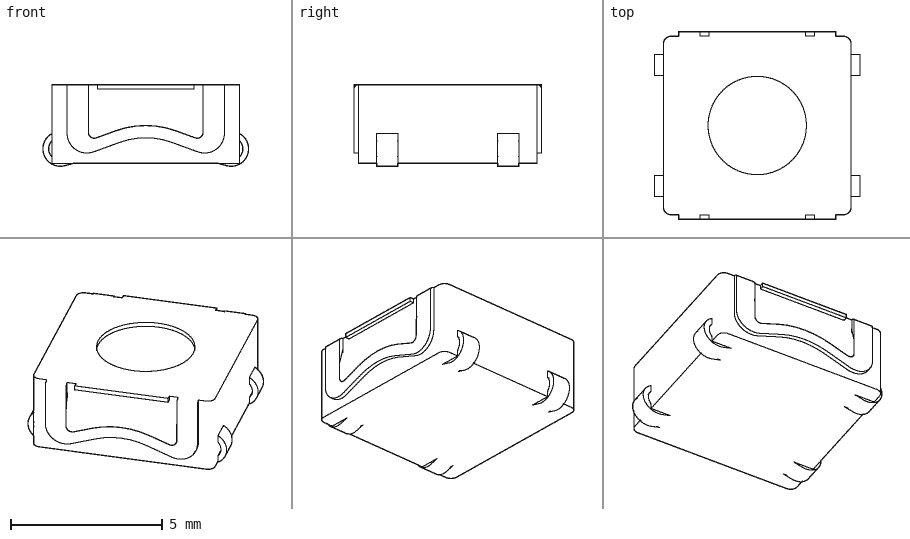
import cadquery as cq
import math

housing_length = 6.2
housing_width = 5.9
housing_height = 2.6
corner_radius = 0.25
cover_thickness = 0.15
recess_diameter = 3.25

overall_width = 6.2
overhang = (overall_width - housing_width) / 2
root_depth = 0.1
loop_half_width = 2.6
leg_width = 0.7
loop_outer_corner_radius = 0.65
loop_inner_corner_radius = 0.2
arch_diameter = 5.0
arch_radius = arch_diameter / 2
arch_top = 0.84
strap_width = 0.4
strap_angle = math.radians(20)
tab_half_width = 1.6
latch_clearance = 0.01
latch_setback = 0.4
latch_ramp_top = housing_height - latch_setback
latch_ramp_height = 0.585
latch_nose_radius = 0.3

overall_length = 6.8
lead_outer_radius = 0.58
lead_thickness = 0.2
lead_width = 0.7
lead_offset = 2.0
lead_drop = 0.1
lead_tail_angle = 15
lead_tail_length = 0.815

wall_y = -housing_width / 2
face_y = -overall_width / 2


def make_housing():
    block = cq.Workplane("XY").box(
        housing_length, housing_width, housing_height, centered=(True, True, False)
    )
    block = block.edges("|Z").fillet(corner_radius)
    return block.faces(">Z").workplane().circle(recess_diameter / 2).cutBlind(-cover_thickness)


def arched_outline(half_width, crest, crest_radius, corner, top):
    """Outline with straight sides and top, rounded lower corners and an arched lower edge."""
    sine = math.sin(strap_angle)
    cosine = math.cos(strap_angle)
    tangent_x = crest_radius * sine
    tangent_z = crest - crest_radius * (1 - cosine)
    center_x = half_width - corner
    center_z = tangent_z - (center_x - tangent_x) * math.tan(strap_angle) + corner / cosine
    run_end = (center_x - corner * sine, center_z - corner * cosine)
    middle_angle = (math.pi / 2 - strap_angle) / 2
    corner_middle = (
        center_x + corner * math.cos(middle_angle),
        center_z - corner * math.sin(middle_angle),
    )
    return (
        cq.Workplane("XZ", origin=(0, wall_y + root_depth, 0))
        .moveTo(-half_width, top)
        .lineTo(half_width, top)
        .lineTo(half_width, center_z)
        .threePointArc(corner_middle, run_end)
        .lineTo(tangent_x, tangent_z)
        .threePointArc((0, crest), (-tangent_x, tangent_z))
        .lineTo(-run_end[0], run_end[1])
        .threePointArc((-corner_middle[0], corner_middle[1]), (-half_width, center_z))
        .close()
    )


def make_loop():
    depth = overhang + root_depth
    plate = arched_outline(
        loop_half_width, arch_top, arch_radius, loop_outer_corner_radius, housing_height
    ).extrude(depth)
    plate = plate.faces(">Z").edges("<Y").fillet(overhang)
    opening = arched_outline(
        loop_half_width - leg_width,
        arch_top + strap_width,
        arch_radius + strap_width,
        loop_inner_corner_radius,
        housing_height,
    ).extrude(depth)
    return plate.cut(opening)


def make_latch():
    """Ramped catch that fills the lower part of the loop with a small clearance."""
    blank = arched_outline(
        loop_half_width - leg_width - latch_clearance,
        arch_top + strap_width + latch_clearance,
        arch_radius + strap_width + latch_clearance,
        loop_inner_corner_radius - latch_clearance,
        latch_ramp_top,
    ).extrude(overhang + root_depth)
    ramp_cutter = (
        cq.Workplane("YZ")
        .polyline([
            (wall_y, latch_ramp_top),
            (face_y, latch_ramp_top),
            (face_y, latch_ramp_top - latch_ramp_height),
        ])
        .close()
        .extrude(loop_half_width, both=True)
    )
    latch = blank.cut(ramp_cutter)
    nose = cq.selectors.NearestToPointSelector((0, face_y, latch_ramp_top - latch_ramp_height))
    return latch.edges(nose).fillet(latch_nose_radius)


def make_tab():
    return cq.Workplane("XY").box(
        2 * tab_half_width, overhang + root_depth, cover_thickness, centered=(True, False, False)
    ).translate((0, face_y, housing_height - cover_thickness))


def make_lead(y):
    """Curled strip on the -X wall: a ring with a straight tail rising into the underside."""
    center_x = -overall_length / 2 + lead_outer_radius
    center_z = lead_outer_radius - lead_drop
    sketch_plane = cq.Workplane("XZ", origin=(center_x, y + lead_width / 2, center_z))
    ring = (
        sketch_plane
        .circle(lead_outer_radius)
        .circle(lead_outer_radius - lead_thickness)
        .extrude(lead_width)
    )
    tail = (
        sketch_plane
        .transformed(rotate=(0, 0, lead_tail_angle))
        .moveTo(0, -lead_outer_radius)
        .rect(lead_tail_length, lead_thickness, centered=False)
        .extrude(lead_width)
    )
    return ring.union(tail)


result = make_housing()
for side_feature in (make_loop(), make_latch(), make_tab()):
    result = result.union(side_feature).union(side_feature.mirror("XZ"))
for lead_y in (-lead_offset, lead_offset):
    lead = make_lead(lead_y)
    result = result.union(lead).union(lead.mirror("YZ"))